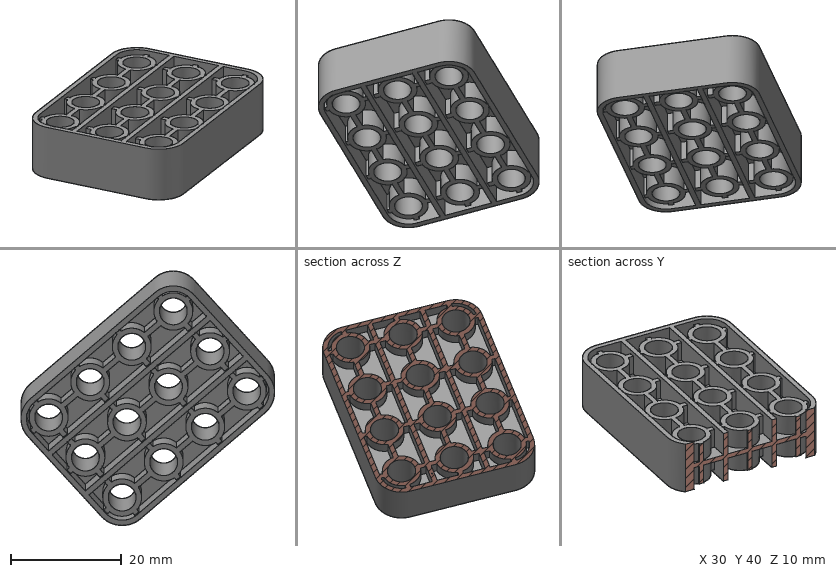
import cadquery as cq

pitch = 10.0
columns = 3
rows = 4
hole_diameter = 5.0

width = columns * pitch
length = rows * pitch
height = 10.0
corner_radius = pitch / 2

wall = 1.0
tube_diameter = hole_diameter + 2 * wall

tube_recess = 0.8
tube_height = height - 2 * tube_recess

column_centers = [(column - (columns - 1) / 2) * pitch for column in range(columns)]
row_centers = [(row - (rows - 1) / 2) * pitch for row in range(rows)]
hole_centers = [(x, y) for x in column_centers for y in row_centers]


def rounded_block(x_size, y_size, z_size, radius):
    """Centered block with rounded vertical corners."""
    return cq.Workplane("XY").box(x_size, y_size, z_size).edges("|Z").fillet(radius)


def upright_wall(x_size, y_size, z_size, x_center=0.0, y_center=0.0):
    """Straight wall, centered on mid-height."""
    return cq.Workplane("XY").box(x_size, y_size, z_size).translate((x_center, y_center, 0))


def cylinders(diameter, z_size):
    """One cylinder at every hole center, centered on mid-height."""
    return cq.Workplane("XY").pushPoints(hole_centers).circle(diameter / 2).extrude(z_size / 2, both=True)


outer = rounded_block(width, length, height, corner_radius)
inside = rounded_block(width - 2 * wall, length - 2 * wall, height, corner_radius - wall)
web = upright_wall(width - wall, length - wall, wall).intersect(outer)
body = outer.cut(inside).union(web)

for left_column in column_centers[:-1]:
    body = body.union(upright_wall(wall, length - wall, height, x_center=left_column + pitch / 2))

for x_center in column_centers:
    body = body.union(upright_wall(wall, length - wall, tube_height, x_center=x_center))
for y_center in row_centers:
    body = body.union(upright_wall(width - wall, wall, tube_height, y_center=y_center))

body = body.union(cylinders(tube_diameter, tube_height))
result = body.cut(cylinders(hole_diameter, height))